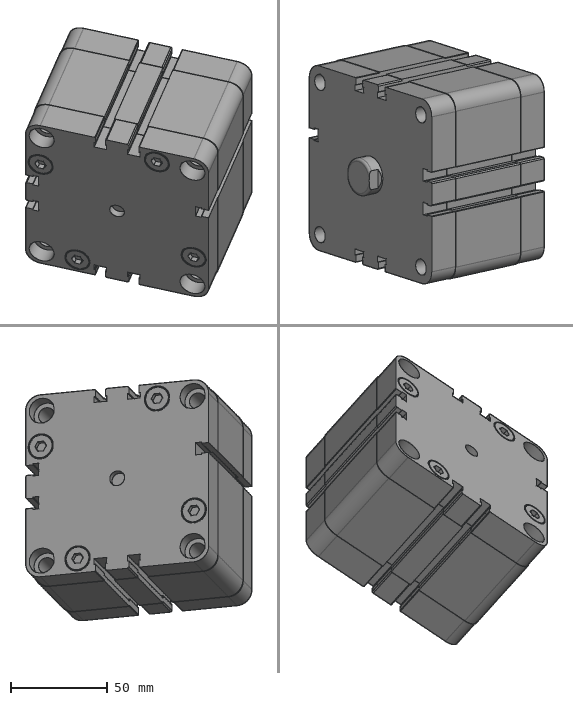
import cadquery as cq
import math

tube_width = 100.0
cap_width = 99.5
corner_radius = 8.0
cap_length = 16.0
tube_length = 44.0
body_length = tube_length + 2 * cap_length
cap_starts = (0, body_length - cap_length)

slot_offset = 9.1
single_slot_offset = 12.0
neck_width = 5.4
slot_width = 6.7
cap_slot_depth = 7.3
cap_neck_depth = 4.2
tube_slot_depth = 7.5
tube_neck_depth = 3.0
outer_mouth_chamfer = 0.3
inner_mouth_chamfer = 0.7

mount_offset = 41.0
mount_diameter = 8.57
mount_bore_diameter = 13.5
mount_bore_depth = 8.5

screw_x = 21.6
screw_z = 41.6
screw_bore_diameter = 13.5
screw_head_diameter = 12.5
screw_gap_depth = 1.0
socket_flats = 5.3
socket_depth = 3.0

port_diameter = 8.0
port_depth = 4.0

rod_diameter = 20.0
rod_length = 8.0
rod_flats = 17.2
flat_length = 5.8
tip_radius = 1.5


def rounded_block(width, y_start, length):
    """Square block with rounded edges along Y, centred on the axis."""
    return (
        cq.Workplane("XZ", origin=(0, y_start, 0))
        .rect(width, width)
        .extrude(-length)
        .edges("|Y")
        .fillet(corner_radius)
    )


def turned(shape, angle):
    """Shape turned about the Y axis."""
    return shape.rotate((0, 0, 0), (0, 1, 0), angle)


def slot_section(offset, y_start, length, neck_depth, slot_depth):
    """T-slot cutter in the +Z side at X = offset, over one stretch of the body."""
    origin = (offset, y_start, tube_width / 2)
    centred_in_x = (True, False, False)
    neck = cq.Workplane("XY", origin=origin).box(neck_width, length, neck_depth, centered=centred_in_x)
    neck = neck.translate((0, 0, -neck_depth))
    foot_height = slot_depth - neck_depth
    foot = cq.Workplane("XY", origin=origin).box(slot_width, length, foot_height, centered=centred_in_x)
    return neck.union(foot.translate((0, 0, -slot_depth)))


def cut_slot(body, offset, angle):
    """Full-length slot, with a deeper floor and thinner lips in the tube than in the caps."""
    for y_start in cap_starts:
        section = slot_section(offset, y_start, cap_length, cap_neck_depth, cap_slot_depth)
        body = body.cut(turned(section, angle))
    section = slot_section(offset, cap_length, tube_length, tube_neck_depth, tube_slot_depth)
    return body.cut(turned(section, angle))


def mouth_chamfer(width, edge, direction, size, y_start, length):
    """Cutter for the 45 degree bevel on a slot mouth edge of a block of the given width."""
    top = width / 2
    profile = [(edge, top - size), (edge, top), (edge + direction * size, top)]
    return cq.Workplane("XZ", origin=(0, y_start, 0)).polyline(profile).close().extrude(-length)


def cut_paired_slots(body, angle, bevel_tube):
    """Two slots in one side, bevelled in the caps and, if asked, along the tube."""
    stretches = [(cap_width, y_start, cap_length) for y_start in cap_starts]
    if bevel_tube:
        stretches.append((tube_width, cap_length, tube_length))
    for side in (-1, 1):
        body = cut_slot(body, side * slot_offset, angle)
        outer_edge = side * (slot_offset + neck_width / 2)
        inner_edge = side * (slot_offset - neck_width / 2)
        for width, y_start, length in stretches:
            outer = mouth_chamfer(width, outer_edge, side, outer_mouth_chamfer, y_start, length)
            inner = mouth_chamfer(width, inner_edge, -side, inner_mouth_chamfer, y_start, length)
            body = body.cut(turned(outer, angle)).cut(turned(inner, angle))
    return body


def front_cylinder(x, z, diameter, depth):
    """Cylinder running from the front face into the body."""
    return cq.Workplane("XZ").center(x, z).circle(diameter / 2).extrude(-depth)


def cut_mounting_holes(body):
    for x in (-mount_offset, mount_offset):
        for z in (-mount_offset, mount_offset):
            body = body.cut(front_cylinder(x, z, mount_diameter, body_length))
            body = body.cut(front_cylinder(x, z, mount_bore_diameter, mount_bore_depth))
    return body


def cut_screw(body, angle):
    """Clearance ring and hexagon socket of one cap screw."""
    socket_corners = socket_flats / math.cos(math.pi / 6)
    ring = front_cylinder(screw_x, screw_z, screw_bore_diameter, screw_gap_depth)
    ring = ring.cut(front_cylinder(screw_x, screw_z, screw_head_diameter, screw_gap_depth))
    ring = turned(ring, angle)
    turn = math.radians(angle)
    x = screw_x * math.cos(turn) + screw_z * math.sin(turn)
    z = screw_z * math.cos(turn) - screw_x * math.sin(turn)
    socket = cq.Workplane("XZ").center(x, z).polygon(6, socket_corners).extrude(-socket_depth)
    return body.cut(ring).cut(socket)


def make_rod():
    """Rod end with a rounded tip and two wrench flats that run out at 45 degrees."""
    radius = rod_diameter / 2
    tip_y = body_length + rod_length
    half_flats = rod_flats / 2
    flat_y = tip_y - flat_length
    rod = (
        cq.Workplane("XZ", origin=(0, body_length - cap_length, 0))
        .circle(radius)
        .extrude(-(cap_length + rod_length))
        .faces(">Y")
        .edges()
        .fillet(tip_radius)
    )
    runout = radius - half_flats
    flat_profile = [
        (half_flats, tip_y),
        (half_flats, flat_y),
        (radius, flat_y - runout),
        (radius, tip_y),
    ]
    flat = cq.Workplane("XY").polyline(flat_profile).close().extrude(radius, both=True)
    return rod.cut(flat).cut(flat.mirror("YZ"))


body = rounded_block(cap_width, 0, body_length)
body = body.union(rounded_block(tube_width, cap_length, tube_length))
body = cut_paired_slots(body, 0, bevel_tube=False)
body = cut_paired_slots(body, 180, bevel_tube=False)
body = cut_paired_slots(body, 270, bevel_tube=True)
body = cut_slot(body, -single_slot_offset, 90)
body = cut_mounting_holes(body)
for screw_angle in (0, 90, 180, 270):
    body = cut_screw(body, screw_angle)
body = body.cut(front_cylinder(0, 0, port_diameter, port_depth))

result = body.union(make_rod())